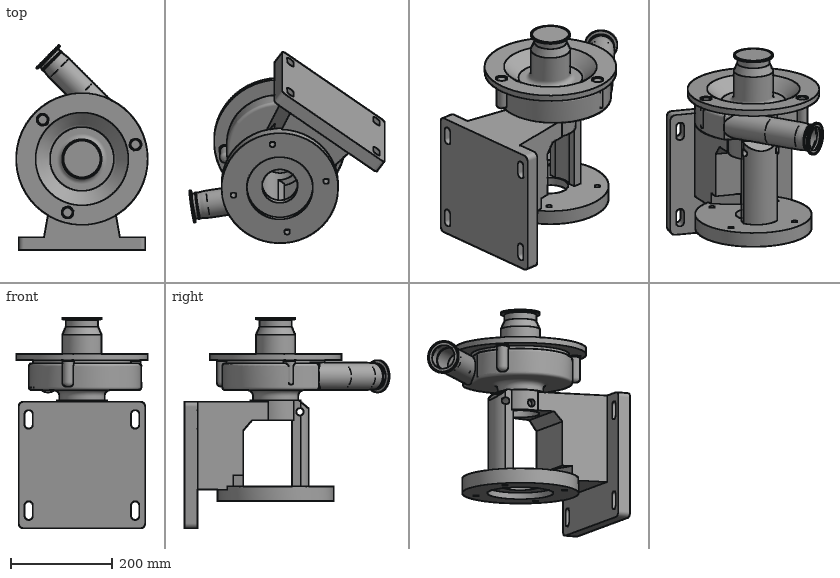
import cadquery as cq
import math


plate_size = 250
plate_back_y = -180
plate_thickness = 26
plate_front_y = plate_back_y + plate_thickness
plate_corner_radius = 10
slot_pitch_x = 210
slot_pitch_z = 180
slot_low_z = 35
slot_width = 16
slot_length = 36

motor_flange_radius = 115
motor_flange_bottom = 54
motor_flange_top = 83
motor_bore_radius = 35
motor_pilot_radius = 65
motor_pilot_depth = 12.5
motor_bolt_circle_radius = 92.5
motor_bolt_hole_diameter = 11
first_motor_bolt_angle = 45
motor_bolt_count = 4

ring_radius = 50
ring_bore_radius = 37.5
ring_bottom = 213
ring_top = 253
ring_hole_diameter = 15
ring_hole_z = 227

arm_root_half_width = 75
arm_tip_half_width = 50
arm_tip_y = -14.5
arm_top = plate_size
web_front_y = -63.5
web_bottom = 76.5
web_foot_y = -95
arm_chamfer_run = 17
arm_chamfer_drop = 20
notch_depth = 20
notch_run = 55
notch_height = 22

strut_half_width = 34.5
strut_inner_y = 32
strut_shoulder_y = 49.5
strut_outer_y = 65.8
strut_bevel_run = 20
strut_bevel_drop = 17
strut_hole_diameter = 14
strut_hole_y = 48
strut_hole_z = 230

casing_radius = 111.5
casing_shift = 6
casing_bottom = 272.5
casing_top = 326
casing_top_fillet = 6.5
casing_bottom_fillet = 6
tongue_radius = 105
tongue_angle = 100
neck_radius = 45
neck_fillet = 11
cover_radius = 97
cover_bottom = 310

flange_radius = 130
flange_bottom = 332
flange_top = 344
dish_rim_radius = 91.5
dish_step_radius = 67.5
dish_floor_radius = 63
dish_step_z = 323
dish_floor_z = 320

stud_circle_radius = 109.4
stud_count = 3
first_stud_angle = 15
stud_hole_radius = 11.5
stud_radius = 9.5
stud_recess_depth = 2
lug_radius = 10.5
lug_inner_reach = 20
lug_bottom = 279.5
lug_top = 329.5
lug_end_fillet = 8

inlet_radius = 39
inlet_root_fillet = 10.5
inlet_cone_bottom = 382
inlet_cone_top = 398
inlet_neck_radius = 32
inlet_lip_radius = 38.75
inlet_face_radius = 36.2
inlet_top = 415.5
lip_thickness = 3
lip_bevel = 1.5
face_recess = 0.5

outlet_offset = 95
outlet_z = 300
outlet_angle = 135
outlet_length = 191
outlet_pipe_radius = 27.3
outlet_flare_radius = 26.9
outlet_sleeve_radius = 26
outlet_bead_radius = 26.5
outlet_neck_radius = 25.5
outlet_lip_radius = 32
outlet_bore_radius = 23.5
outlet_pipe_bore_radius = 25
outlet_bore_depth = 100
outlet_face_radius = 29.5
outlet_neck_length = 10.5
outlet_bead_length = 3
outlet_sleeve_length = 19
outlet_flare_length = 25
outlet_adapter_length = 33


def cylinder(radius, bottom, top, x=0, y=0):
    """Upright cylinder between two heights."""
    return cq.Workplane("XY", origin=(x, y, bottom)).circle(radius).extrude(top - bottom)


def polar(radius, angle):
    """XY point at a radius and an angle in degrees."""
    return radius * math.cos(math.radians(angle)), radius * math.sin(math.radians(angle))


def make_plate():
    """Square mounting plate with rounded corners and four upright slots."""
    plate = (
        cq.Workplane("XY")
        .box(plate_size, plate_thickness, plate_size, centered=(True, False, False))
        .translate((0, plate_back_y, 0))
        .edges("|Y")
        .fillet(plate_corner_radius)
    )
    slot_centres = [
        (x, slot_low_z + z) for x in (-slot_pitch_x / 2, slot_pitch_x / 2) for z in (0, slot_pitch_z)
    ]
    slots = (
        cq.Workplane("XZ", origin=(0, plate_front_y, 0))
        .pushPoints(slot_centres)
        .slot2D(slot_length, slot_width, 90)
        .extrude(plate_thickness)
    )
    return plate.cut(slots)


def make_arm():
    """Tapered arm and web; notches in the web clear the nearest motor bolts."""
    side = (
        cq.Workplane("YZ")
        .moveTo(plate_front_y, arm_top)
        .lineTo(arm_tip_y, arm_top)
        .lineTo(arm_tip_y, ring_bottom)
        .lineTo(web_front_y + arm_chamfer_run, ring_bottom)
        .lineTo(web_front_y, ring_bottom - arm_chamfer_drop)
        .lineTo(web_front_y, motor_flange_top)
        .lineTo(web_foot_y, motor_flange_top)
        .lineTo(web_foot_y, web_bottom)
        .lineTo(plate_front_y, web_bottom)
        .close()
        .extrude(arm_root_half_width, both=True)
    )
    plan = (
        cq.Workplane("XY")
        .moveTo(-arm_root_half_width, plate_front_y)
        .lineTo(arm_root_half_width, plate_front_y)
        .lineTo(arm_tip_half_width, arm_tip_y)
        .lineTo(-arm_tip_half_width, arm_tip_y)
        .close()
        .extrude(arm_top)
    )
    arm = side.intersect(plan)
    arm_taper = (arm_root_half_width - arm_tip_half_width) / (arm_tip_y - plate_front_y)
    notch_back_y = web_front_y - notch_depth
    notch_outer_x = arm_tip_half_width + (arm_tip_y - notch_back_y) * arm_taper
    notch = (
        cq.Workplane("XY", origin=(0, 0, motor_flange_top))
        .moveTo(notch_outer_x, notch_back_y)
        .lineTo(notch_outer_x, web_front_y)
        .lineTo(notch_outer_x - notch_run, web_front_y)
        .close()
        .extrude(notch_height)
    )
    return arm.cut(notch).cut(notch.mirror("YZ"))


def make_strut():
    """Round-backed strut that ties the motor flange to the ring."""
    strut = (
        cq.Workplane("XY", origin=(0, 0, motor_flange_top))
        .moveTo(-strut_half_width, strut_inner_y)
        .lineTo(-strut_half_width, strut_shoulder_y)
        .threePointArc((0, strut_outer_y), (strut_half_width, strut_shoulder_y))
        .lineTo(strut_half_width, strut_inner_y)
        .close()
        .extrude(ring_top - motor_flange_top)
    )
    bevel = (
        cq.Workplane("YZ")
        .moveTo(strut_outer_y, ring_top)
        .lineTo(strut_outer_y - strut_bevel_run, ring_top)
        .lineTo(strut_outer_y, ring_top - strut_bevel_drop)
        .close()
        .extrude(strut_half_width, both=True)
    )
    return strut.cut(bevel)


def make_bracket():
    """Motor flange, ring, arm, strut and mounting plate in one piece."""
    motor_flange = cylinder(motor_flange_radius, motor_flange_bottom, motor_flange_top)
    bolt_holes = (
        cq.Workplane("XY", origin=(0, 0, motor_flange_bottom))
        .polarArray(motor_bolt_circle_radius, first_motor_bolt_angle, 360, motor_bolt_count)
        .circle(motor_bolt_hole_diameter / 2)
        .extrude(motor_flange_top - motor_flange_bottom)
    )
    motor_flange = motor_flange.cut(bolt_holes)
    motor_flange = motor_flange.cut(cylinder(motor_bore_radius, motor_flange_bottom, motor_flange_top))
    pilot_top = motor_flange_bottom + motor_pilot_depth
    motor_flange = motor_flange.cut(cylinder(motor_pilot_radius, motor_flange_bottom, pilot_top))
    ring = cylinder(ring_radius, ring_bottom, ring_top)
    upper = ring.union(make_arm()).union(make_strut())
    upper = upper.cut(cylinder(ring_bore_radius, motor_flange_top, ring_top))
    side_hole = (
        cq.Workplane("YZ", origin=(-ring_radius, 0, ring_hole_z))
        .circle(ring_hole_diameter / 2)
        .extrude(ring_radius)
    )
    cross_hole = (
        cq.Workplane("YZ", origin=(0, strut_hole_y, strut_hole_z))
        .circle(strut_hole_diameter / 2)
        .extrude(strut_half_width, both=True)
    )
    return upper.cut(side_hole).cut(cross_hole).union(motor_flange).union(make_plate())


def make_casing():
    """Volute: an off-centre wall, closed by a smaller arc that ends at the outlet tongue."""
    diagonal = casing_radius * math.sqrt(0.5)
    throat = casing_shift + diagonal
    back = casing_shift - diagonal
    casing = (
        cq.Workplane("XY", origin=(0, 0, casing_bottom))
        .moveTo(throat, throat)
        .lineTo(*polar(tongue_radius, tongue_angle))
        .threePointArc(polar(tongue_radius, (tongue_angle + 180) / 2), (-tongue_radius, 0))
        .threePointArc((throat, back), (throat, throat))
        .close()
        .extrude(casing_top - casing_bottom)
        .faces("<Z")
        .edges()
        .fillet(casing_bottom_fillet)
        .faces(">Z")
        .edges()
        .fillet(casing_top_fillet)
    )
    casing = casing.cut(cylinder(cover_radius, cover_bottom, casing_top))
    neck = (
        cq.Workplane("XZ")
        .moveTo(0, ring_top)
        .lineTo(neck_radius, ring_top)
        .lineTo(neck_radius, casing_bottom - neck_fillet)
        .radiusArc((neck_radius + neck_fillet, casing_bottom), neck_fillet)
        .lineTo(0, casing_bottom)
        .close()
        .revolve(360, (0, 0, 0), (0, 1, 0))
    )
    return casing.union(neck)


def make_cover():
    """Cover flange, dish and inlet nozzle as one turned piece."""
    lip_bottom = inlet_top - lip_thickness
    return (
        cq.Workplane("XZ")
        .moveTo(0, cover_bottom)
        .lineTo(cover_radius, cover_bottom)
        .lineTo(cover_radius, flange_bottom)
        .lineTo(flange_radius, flange_bottom)
        .lineTo(flange_radius, flange_top)
        .lineTo(dish_rim_radius, flange_top)
        .lineTo(dish_step_radius, dish_step_z)
        .lineTo(dish_floor_radius, dish_floor_z)
        .lineTo(inlet_radius + inlet_root_fillet, dish_floor_z)
        .radiusArc((inlet_radius, dish_floor_z + inlet_root_fillet), inlet_root_fillet)
        .lineTo(inlet_radius, inlet_cone_bottom)
        .lineTo(inlet_neck_radius, inlet_cone_top)
        .lineTo(inlet_neck_radius, lip_bottom - lip_bevel)
        .lineTo(inlet_lip_radius, lip_bottom)
        .lineTo(inlet_lip_radius, inlet_top)
        .lineTo(inlet_face_radius, inlet_top)
        .lineTo(inlet_face_radius, inlet_top - face_recess)
        .lineTo(0, inlet_top - face_recess)
        .close()
        .revolve(360, (0, 0, 0), (0, 1, 0))
    )


def add_lugs(body):
    """Round-nosed lugs on the casing; their studs end recessed inside clearance holes in the flange."""
    lug = (
        cq.Workplane("XY", origin=(stud_circle_radius, 0, lug_bottom))
        .moveTo(-lug_inner_reach, -lug_radius)
        .lineTo(0, -lug_radius)
        .threePointArc((lug_radius, 0), (0, lug_radius))
        .lineTo(-lug_inner_reach, lug_radius)
        .close()
        .extrude(lug_top - lug_bottom)
        .faces("<Z")
        .edges()
        .fillet(lug_end_fillet)
    )
    cover_space = cylinder(cover_radius, cover_bottom, flange_bottom)
    lug = lug.cut(cover_space)
    clearance = cylinder(stud_hole_radius, flange_bottom, flange_top, stud_circle_radius)
    stud_foot = lug_bottom + lug_end_fillet
    stud_end = flange_top - stud_recess_depth
    stud = cylinder(stud_radius, stud_foot, stud_end, stud_circle_radius)
    for index in range(stud_count):
        angle = first_stud_angle + index * 360 / stud_count
        body = body.cut(clearance.rotate((0, 0, 0), (0, 0, 1), angle))
        body = body.union(lug.union(stud).rotate((0, 0, 0), (0, 0, 1), angle))
    return body


def along_outlet(shape):
    """Turn a shape built up the Y axis so that it runs along the outlet axis."""
    foot_x, foot_y = polar(outlet_offset, outlet_angle - 90)
    turned = shape.rotate((0, 0, 0), (0, 0, 1), outlet_angle - 90)
    return turned.translate((foot_x, foot_y, outlet_z))


def add_outlet(body):
    """Outlet pipe with its stepped adapter and lip, bored from the open end."""
    lip_start = outlet_length - lip_thickness
    bead_end = outlet_length - outlet_neck_length
    bead_start = bead_end - outlet_bead_length
    pipe_end = outlet_length - outlet_adapter_length
    nozzle = (
        cq.Workplane("XY")
        .lineTo(outlet_pipe_radius, 0)
        .lineTo(outlet_pipe_radius, pipe_end)
        .lineTo(outlet_flare_radius, outlet_length - outlet_flare_length)
        .lineTo(outlet_sleeve_radius, outlet_length - outlet_sleeve_length)
        .lineTo(outlet_sleeve_radius, bead_start)
        .lineTo(outlet_bead_radius, bead_start)
        .lineTo(outlet_bead_radius, bead_end)
        .lineTo(outlet_neck_radius, bead_end)
        .lineTo(outlet_neck_radius, lip_start - lip_bevel)
        .lineTo(outlet_lip_radius, lip_start)
        .lineTo(outlet_lip_radius, outlet_length)
        .lineTo(outlet_face_radius, outlet_length)
        .lineTo(outlet_face_radius, outlet_length - face_recess)
        .lineTo(0, outlet_length - face_recess)
        .close()
        .revolve(360, (0, 0, 0), (0, 1, 0))
    )
    bore_end = outlet_length - outlet_bore_depth
    bore = (
        cq.Workplane("XY")
        .moveTo(0, bore_end)
        .lineTo(outlet_pipe_bore_radius, bore_end)
        .lineTo(outlet_pipe_bore_radius, pipe_end)
        .lineTo(outlet_bore_radius, pipe_end)
        .lineTo(outlet_bore_radius, outlet_length)
        .lineTo(0, outlet_length)
        .close()
        .revolve(360, (0, 0, 0), (0, 1, 0))
    )
    return body.union(along_outlet(nozzle)).cut(along_outlet(bore))


pump = make_casing().union(make_cover())
pump = add_outlet(add_lugs(pump))
result = make_bracket().union(pump)